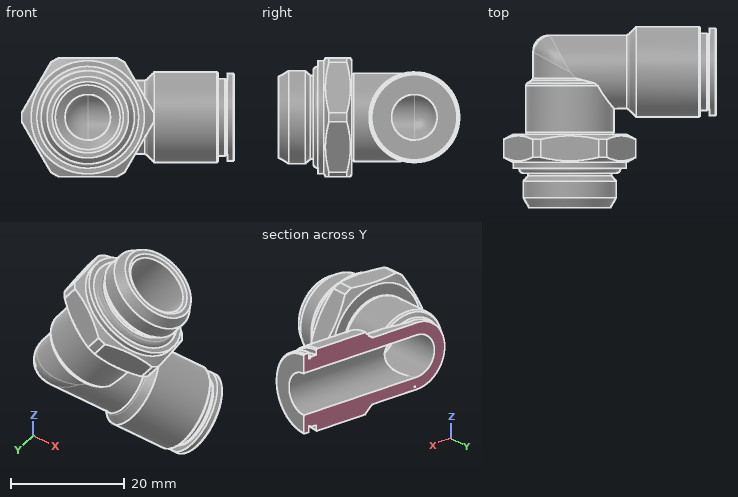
import cadquery as cq
import math

pipe_radius = 6.5
bend_fillet = 2.93

socket_radius = 8.0
socket_start = 10.05
socket_cone_start = 10.4
socket_cone_start_radius = 6.7
socket_cone_end = 11.75
socket_end = 23.05
socket_chamfer = 0.25
collar_neck_radius = 6.85
collar_neck_end = 24.2
groove_radius = 6.57
groove_start = 24.45
flange_start = 24.65
flange_radius = 7.75
flange_chamfer = 0.23
outlet_end = 25.87

sleeve_radius = 7.8
sleeve_top = 1.13
shoulder_start = 1.45
shoulder_start_radius = 6.75
shoulder_end = 2.03
shoulder_end_radius = 7.6
shoulder_taper_end = 2.48
relief_start = 10.65
relief_radius = 7.65
hex_top = 11.0
hex_bottom = 15.95
hex_across_flats = 21.0
hex_across_corners = hex_across_flats / math.cos(math.radians(30))
hex_corner_radius = 11.68
hex_face_radius = 10.0
hex_bevel_height = 0.9
washer_bottom = 17.0
seal_bottom = 17.87
seal_radius = 8.97
seal_rounding = 0.83
thread_neck_radius = 7.4
thread_neck_end = 18.32
thread_start = 19.25
thread_radius = 8.22
thread_end = 22.15
leg_end = 24.0
leg_tip_radius = 7.17

passage_radius = 4.0
bore_radius = 5.7
bore_mouth_radius = 6.27
bore_mouth_depth = 0.4
bore_end = 12.0
bore_cone_end = 10.9


def turn_outlet(profile):
    """Revolve (x, radius) points about the X axis."""
    return cq.Workplane("XY").polyline(profile).close().revolve(360, (0, 0), (1, 0))


def turn_leg(profile):
    """Revolve (radius, distance) points about the Y axis, with distance measured along -Y."""
    points = [(radius, -distance) for radius, distance in profile]
    return cq.Workplane("XY").polyline(points).close().revolve(360, (0, 0), (0, 1))


def wedge(corners):
    """Triangular prism centred on the plane of the pipe axes and taller than the pipes."""
    return cq.Workplane("XY").polyline(corners).close().extrude(2 * pipe_radius, both=True)


def make_bend():
    """Two equal pipes mitred at 45 degrees, with the outer mitre edge rounded."""
    reach = 2 * pipe_radius
    outlet_pipe = cq.Workplane("YZ").circle(pipe_radius).extrude(socket_start)
    leg_pipe = cq.Workplane("XZ").circle(pipe_radius).extrude(relief_start)

    outlet_half = cq.Workplane("YZ").circle(pipe_radius).extrude(reach, both=True)
    outlet_half = outlet_half.intersect(wedge([(0, 0), (-reach, reach), (reach, reach)]))
    leg_half = cq.Workplane("XZ").circle(pipe_radius).extrude(reach, both=True)
    leg_half = leg_half.intersect(wedge([(0, 0), (-reach, reach), (-reach, -reach)]))
    mitre_edges = cq.selectors.BoxSelector(
        (-pipe_radius, 0, -pipe_radius), (-pipe_radius / 4, pipe_radius, pipe_radius)
    )
    corner = outlet_half.union(leg_half).edges(mitre_edges).edges("%ELLIPSE").fillet(bend_fillet)
    return outlet_pipe.union(leg_pipe).union(corner)


def make_socket():
    return turn_outlet([
        (socket_start, 0),
        (socket_start, pipe_radius),
        (socket_cone_start, socket_cone_start_radius),
        (socket_cone_end, socket_radius),
        (socket_end - socket_chamfer, socket_radius),
        (socket_end, socket_radius - socket_chamfer),
        (socket_end, collar_neck_radius),
        (collar_neck_end, collar_neck_radius),
        (groove_start, groove_radius),
        (flange_start, groove_radius),
        (flange_start, flange_radius),
        (outlet_end - flange_chamfer, flange_radius),
        (outlet_end, flange_radius - flange_chamfer),
        (outlet_end, 0),
    ])


def make_sleeve():
    return turn_leg([
        (0, sleeve_top),
        (pipe_radius, sleeve_top),
        (shoulder_start_radius, shoulder_start),
        (shoulder_end_radius, shoulder_end),
        (sleeve_radius, shoulder_taper_end),
        (sleeve_radius, relief_start),
        (relief_radius, relief_start),
        (relief_radius, hex_top),
        (0, hex_top),
    ])


def make_hex_nut():
    """Hexagon with flats facing +Z and -Z, trimmed by a cylinder with bevelled ends."""
    hexagon = cq.Workplane("XZ").workplane(offset=hex_top)
    hexagon = hexagon.polygon(6, hex_across_corners).extrude(hex_bottom - hex_top)
    trim = turn_leg([
        (0, hex_top),
        (hex_face_radius, hex_top),
        (hex_corner_radius, hex_top + hex_bevel_height),
        (hex_corner_radius, hex_bottom - hex_bevel_height),
        (hex_face_radius, hex_bottom),
        (0, hex_bottom),
    ])
    return hexagon.intersect(trim)


def make_washer_and_seal():
    washer = turn_leg([
        (0, hex_bottom),
        (hex_face_radius, hex_bottom),
        (hex_face_radius, washer_bottom),
        (0, washer_bottom),
    ])
    seal = turn_leg([
        (0, washer_bottom),
        (seal_radius, washer_bottom),
        (seal_radius, seal_bottom),
        (0, seal_bottom),
    ])
    return washer.union(seal.faces("<Y").edges().fillet(seal_rounding))


def make_thread():
    return turn_leg([
        (0, seal_bottom),
        (thread_neck_radius, seal_bottom),
        (thread_neck_radius, thread_neck_end),
        (thread_radius, thread_start),
        (thread_radius, thread_end),
        (leg_tip_radius, leg_end),
        (0, leg_end),
    ])


def make_passage():
    outlet_bore = cq.Workplane("YZ").circle(passage_radius).extrude(outlet_end)
    leg_bore = turn_leg([
        (0, 0),
        (passage_radius, 0),
        (passage_radius, bore_cone_end),
        (bore_radius, bore_end),
        (bore_radius, leg_end - bore_mouth_depth),
        (bore_mouth_radius, leg_end),
        (0, leg_end),
    ])
    elbow_ball = cq.Workplane("XY").sphere(passage_radius)
    return outlet_bore.union(leg_bore).union(elbow_ball)


body = make_bend().union(make_socket()).union(make_sleeve())
body = body.union(make_hex_nut()).union(make_washer_and_seal()).union(make_thread())
result = body.cut(make_passage())